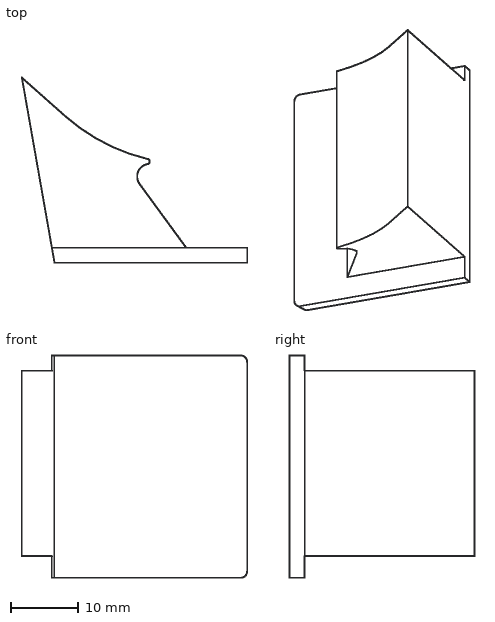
import cadquery as cq
import math

depth = 27.47
side_lean = math.radians(10)

plate_length = 28.59
plate_height = 33.0
plate_thickness = 2.25
plate_corner_radius = 1.0

block_bottom = 3.25
block_height = 27.5
block_foot_x = 19.54

scoop_slope = -0.886
scoop_arc_start_x = 1.6

lip_x = 14.15
lip_radius = 0.4
groove_radius = 1.87
groove_center_x = 14.15
groove_center_y = 12.79


def lean_x(y):
    """X of the leaning side wall at a distance y behind the front face."""
    return -y * math.tan(side_lean)


def groove_point(angle):
    """Point on the groove circle at an angle from +X."""
    return (
        groove_center_x + groove_radius * math.cos(angle),
        groove_center_y + groove_radius * math.sin(angle),
    )


def flank_tangent_angle():
    """Angle on the groove circle where the straight flank from the block's foot touches it."""
    to_foot_x = block_foot_x - groove_center_x
    to_foot_y = plate_thickness - groove_center_y
    distance = math.hypot(to_foot_x, to_foot_y)
    return math.atan2(to_foot_y, to_foot_x) - math.acos(groove_radius / distance)


def make_plate():
    outline = [
        (0, 0),
        (plate_length, 0),
        (plate_length, plate_thickness),
        (lean_x(plate_thickness), plate_thickness),
    ]
    plate = cq.Workplane("XY").polyline(outline).close().extrude(plate_height)
    return plate.edges("|Y and >X").fillet(plate_corner_radius)


def make_block():
    tip_x = lean_x(depth)
    scoop_arc_start_y = depth + scoop_slope * (scoop_arc_start_x - tip_x)

    lip_center_x = lip_x - lip_radius
    groove_top = groove_point(math.acos((lip_center_x - groove_center_x) / groove_radius))
    lip_center_y = groove_top[1] + lip_radius

    return (
        cq.Workplane("XY", origin=(0, 0, block_bottom))
        .moveTo(0, 0)
        .lineTo(tip_x, depth)
        .lineTo(scoop_arc_start_x, scoop_arc_start_y)
        .tangentArcPoint((lip_center_x, lip_center_y + lip_radius), relative=False)
        .threePointArc((lip_x, lip_center_y), groove_top)
        .threePointArc(groove_point(math.pi), groove_point(flank_tangent_angle()))
        .lineTo(block_foot_x, plate_thickness)
        .lineTo(block_foot_x, 0)
        .close()
        .extrude(block_height)
    )


bracket = make_plate().union(make_block()).clean()

result = cq.Compound.makeCompound([bracket.val()])